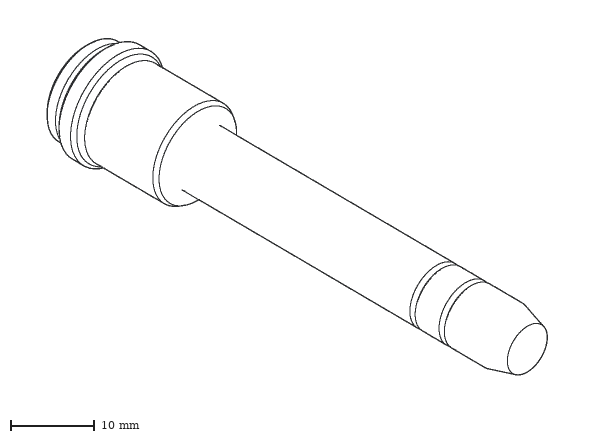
import cadquery as cq
import math

length = 75.0
head_radius = 14.0 / 2
collar_radius = 16.0 / 2
shank_radius = 9.0 / 2

rim_chamfer = 0.5
rim_groove_start = 1.95
collar_start = 3.0
collar_end = 6.0
collar_chamfer = 0.5
body_start = 6.9
head_end = 19.1
head_chamfer_length = 0.7
head_chamfer_depth = head_chamfer_length * math.tan(math.radians(30))

root_fillet = 0.45
groove_depth = 0.45
shank_groove_width = 0.9
shank_groove_starts = (59.55, 64.5)
tip_length = 4.05
tip_radius = shank_radius - tip_length * math.tan(math.radians(15))


def add_groove(outline, start, end, radius):
    """Run the outline to a rounded groove and across it."""
    floor = ((start + end) / 2, radius - groove_depth)
    return outline.lineTo(start, radius).threePointArc(floor, (end, radius))


outline = cq.Workplane("XY").lineTo(0, head_radius - rim_chamfer).lineTo(rim_chamfer, head_radius)

outline = add_groove(outline, rim_groove_start, collar_start, head_radius)
outline = (
    outline.lineTo(collar_start, collar_radius - collar_chamfer)
    .lineTo(collar_start + collar_chamfer, collar_radius)
    .lineTo(collar_end - collar_chamfer, collar_radius)
    .lineTo(collar_end, collar_radius - collar_chamfer)
)
outline = add_groove(outline, collar_end, body_start, head_radius)
outline = (
    outline.lineTo(head_end - head_chamfer_length, head_radius)
    .lineTo(head_end, head_radius - head_chamfer_depth)
)

fillet_offset = root_fillet * (1 - math.sqrt(0.5))
outline = (
    outline.lineTo(head_end, shank_radius + root_fillet)
    .threePointArc(
        (head_end + fillet_offset, shank_radius + fillet_offset),
        (head_end + root_fillet, shank_radius),
    )
)

for groove_start in shank_groove_starts:
    outline = add_groove(outline, groove_start, groove_start + shank_groove_width, shank_radius)
outline = (
    outline.lineTo(length - tip_length, shank_radius)
    .lineTo(length, tip_radius)
    .lineTo(length, 0)
    .close()
)

result = outline.revolve(360, (0, 0, 0), (1, 0, 0))